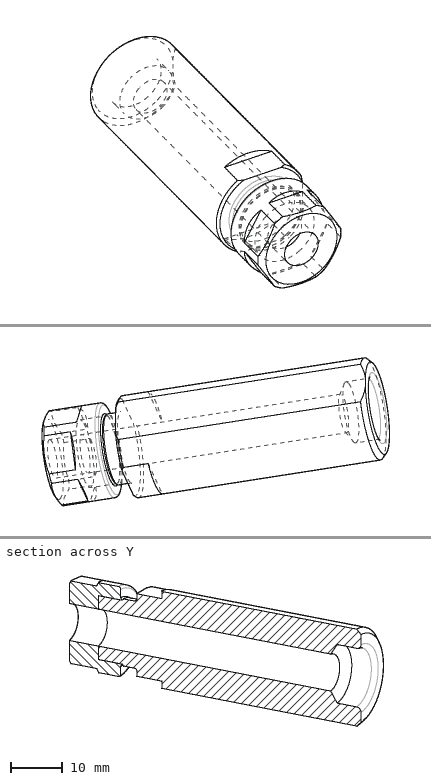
import cadquery as cq
import math

total_length = 65.0
holder_face_x = 50.0
nut_face_x = 53.5
neck_end_x = 52.9

barrel_radius = 10.0
rear_chamfer = 1.0
front_chamfer = 0.5
side_flat_y = 9.0
wrench_flat_z = 8.5
wrench_flat_start_x = 44.45

neck_radius = 6.95
neck_fillet = 0.5
groove_radius = 6.6
groove_x = 53.25

rear_bore_radius = 6.0
rear_bore_fillet = 1.0
rear_bore_depth = 5.3
bore_radius = 3.8
cone_length = 1.4

nut_radius = 9.3
nut_edge_fillet = 0.5
nut_collar_radius = 7.1
nut_socket_depth = 5.0
nut_chamfer_length = 0.8
nut_chamfer_angle = 60
nut_chamfer_drop = nut_chamfer_length * math.tan(math.radians(nut_chamfer_angle))
hex_flat_count = 6
hex_flat_distance = 8.5
hex_flat_start_x = 58.95
long_hex_flat_start_x = 57.7
long_flat_index = 5
flat_end_angle = 60

spigot_end_x = nut_face_x + nut_socket_depth
cut_size = 4 * barrel_radius


def revolve_about_x(profile):
    """Revolve a closed XY profile a full turn about the X axis."""
    return profile.close().revolve(360, (0, 0, 0), (1, 0, 0))


def cylinder_along_x(radius, start_x, end_x):
    return cq.Workplane("YZ", origin=(start_x, 0, 0)).circle(radius).extrude(end_x - start_x)


def fillet_midpoint_offset(radius):
    """Distance of a quarter arc's midpoint from each of the two straight lines it blends."""
    return radius * (1 - math.sqrt(0.5))


def make_holder_blank():
    offset = fillet_midpoint_offset(neck_fillet)
    profile = (
        cq.Workplane("XY")
        .moveTo(0, 0)
        .lineTo(0, barrel_radius - rear_chamfer)
        .lineTo(rear_chamfer, barrel_radius)
        .lineTo(holder_face_x - front_chamfer, barrel_radius)
        .lineTo(holder_face_x, barrel_radius - front_chamfer)
        .lineTo(holder_face_x, neck_radius + neck_fillet)
        .threePointArc(
            (holder_face_x + offset, neck_radius + offset),
            (holder_face_x + neck_fillet, neck_radius),
        )
        .lineTo(neck_end_x, neck_radius)
        .lineTo(groove_x, groove_radius)
        .lineTo(spigot_end_x, groove_radius)
        .lineTo(spigot_end_x, 0)
    )
    return revolve_about_x(profile)


def make_holder_bore():
    """Rear bore with rounded mouth, cone, and straight through hole."""
    offset = fillet_midpoint_offset(rear_bore_fillet)
    profile = (
        cq.Workplane("XY")
        .moveTo(0, 0)
        .lineTo(0, rear_bore_radius + rear_bore_fillet)
        .threePointArc(
            (offset, rear_bore_radius + offset),
            (rear_bore_fillet, rear_bore_radius),
        )
        .lineTo(rear_bore_depth, rear_bore_radius)
        .lineTo(rear_bore_depth + cone_length, bore_radius)
        .lineTo(spigot_end_x, bore_radius)
        .lineTo(spigot_end_x, 0)
    )
    return revolve_about_x(profile)


def make_holder():
    side_cut = cq.Workplane("XY").box(
        total_length, cut_size, cut_size, centered=(False, False, True)
    ).translate((0, side_flat_y, 0))
    wrench_cut = cq.Workplane("XY").box(
        holder_face_x - wrench_flat_start_x, cut_size, cut_size, centered=(False, True, False)
    ).translate((wrench_flat_start_x, 0, wrench_flat_z))
    holder = make_holder_blank().cut(side_cut).cut(wrench_cut).cut(wrench_cut.mirror("XY"))
    return holder.cut(make_holder_bore())


def make_nut_blank():
    profile = (
        cq.Workplane("XY")
        .moveTo(groove_x, 0)
        .lineTo(groove_x, groove_radius)
        .lineTo(nut_face_x, nut_collar_radius)
        .lineTo(nut_face_x, nut_radius - nut_edge_fillet)
        .radiusArc((nut_face_x + nut_edge_fillet, nut_radius), nut_edge_fillet)
        .lineTo(total_length - nut_chamfer_length, nut_radius)
        .lineTo(total_length, nut_radius - nut_chamfer_drop)
        .lineTo(total_length, 0)
    )
    return revolve_about_x(profile)


def make_hex_flat_cut(index):
    """Material removed for one wrench flat; index 0 faces +Z and the rest follow about X."""
    start_x = long_hex_flat_start_x if index == long_flat_index else hex_flat_start_x
    ramp_top = 2 * nut_radius
    ramp_length = (ramp_top - hex_flat_distance) / math.tan(math.radians(flat_end_angle))
    cut = (
        cq.Workplane("XZ")
        .moveTo(start_x - ramp_length, ramp_top)
        .lineTo(start_x, hex_flat_distance)
        .lineTo(total_length, hex_flat_distance)
        .lineTo(total_length, ramp_top)
        .close()
        .extrude(nut_radius, both=True)
    )
    return cut.rotate((0, 0, 0), (1, 0, 0), index * 360 / hex_flat_count)


def make_nut():
    nut = make_nut_blank()
    for index in range(hex_flat_count):
        nut = nut.cut(make_hex_flat_cut(index))
    nut = nut.cut(cylinder_along_x(groove_radius, groove_x, spigot_end_x))
    return nut.cut(cylinder_along_x(bore_radius, spigot_end_x, total_length))


holder = make_holder()
nut = make_nut()
result = cq.Compound.makeCompound([holder.val(), nut.val()])